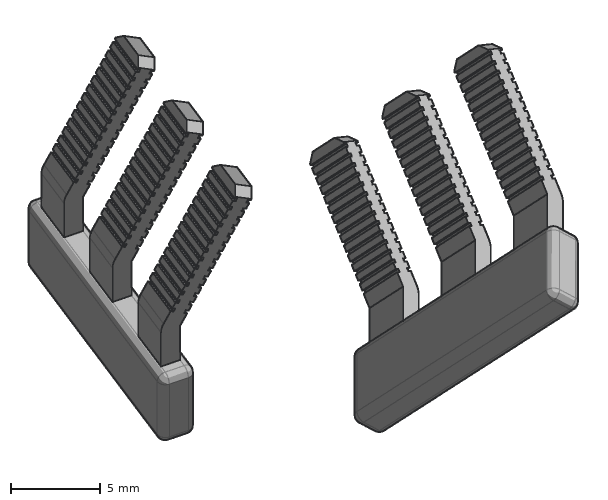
import cadquery as cq
import math

base_length = 16.8
base_depth = 2.2
base_height = 5.0
base_fillet = 0.5

tine_count = 3
tine_pitch = 6.0
tine_width = 2.8
tine_thickness = base_depth - 2 * base_fillet
stem_height = 2.57
arm_length = 9.5
lean_angle = 30.0
tip_chamfer = 0.5

groove_count = 14
groove_run = 7.8
groove_pitch = groove_run / (groove_count - 1)
first_groove_drop = 0.6
groove_width = 0.2
groove_depth = 0.2

bend_y = base_depth - base_fillet
bend_z = base_height + stem_height


def make_base():
    bar = cq.Workplane("XY").box(base_length, base_depth, base_height, centered=(True, False, False))
    return bar.edges().fillet(base_fillet)


def make_stem():
    """Stem with its rounded elbow, rooted inside the base."""
    front_y = bend_y - tine_thickness
    root_z = base_height - base_fillet

    def elbow_point(angle):
        turn = math.radians(angle)
        return (bend_y - tine_thickness * math.cos(turn), bend_z + tine_thickness * math.sin(turn))

    return (
        cq.Workplane("YZ")
        .moveTo(bend_y, root_z)
        .lineTo(front_y, root_z)
        .lineTo(front_y, bend_z)
        .threePointArc(elbow_point(lean_angle / 2), elbow_point(lean_angle))
        .lineTo(bend_y, bend_z)
        .close()
        .extrude(tine_width / 2, both=True)
    )


def make_arm():
    """Arm modelled upright with its +Y face on the bend axis, then leaned over."""
    arm = (
        cq.Workplane("XY")
        .box(tine_width, tine_thickness, arm_length, centered=(True, False, False))
        .edges("|Y and >Z")
        .chamfer(tip_chamfer)
    )
    first_groove_z = arm_length - first_groove_drop - groove_width / 2
    groove_centres = [
        (face_y, first_groove_z - i * groove_pitch)
        for face_y in (0, tine_thickness)
        for i in range(groove_count)
    ]
    grooves = (
        cq.Workplane("YZ")
        .pushPoints(groove_centres)
        .rect(2 * groove_depth, groove_width)
        .extrude(tine_width, both=True)
    )
    return (
        arm.cut(grooves)
        .translate((0, -tine_thickness, 0))
        .rotate((0, 0, 0), (1, 0, 0), -lean_angle)
        .translate((0, bend_y, bend_z))
    )


tine = make_stem().union(make_arm())

result = make_base()
for i in range(tine_count):
    tine_x = (i - (tine_count - 1) / 2) * tine_pitch
    result = result.union(tine.translate((tine_x, 0, 0)))